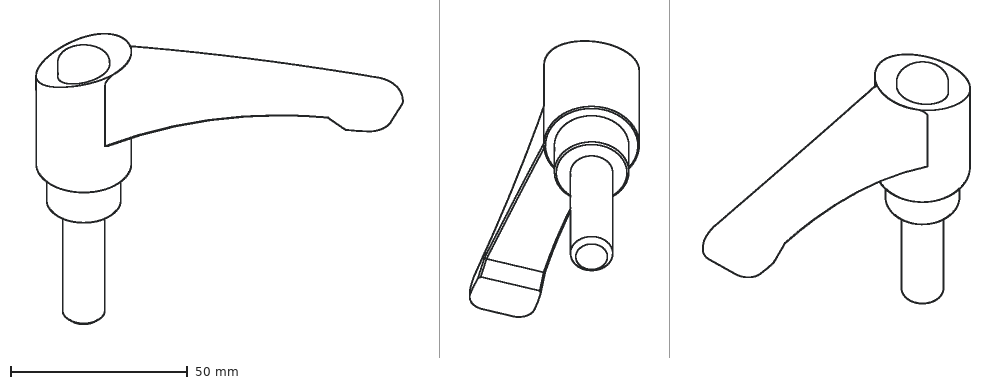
import cadquery as cq
import math

stud_diameter = 12.0
stud_chamfer = 1.5
bush_diameter = 21.0
bush_bottom = 39.8
bush_edge = 0.5
hub_diameter = 27.0
hub_radius = hub_diameter / 2
hub_bottom = 52.8
hub_edge = 0.4

button_diameter = 14.7
button_top = 90.4
button_edge = 1.3

dish_cross_radius = 23.7
dish_long_radius = 35.6
dish_centre_height = 85.3
dish_slope = 0.3
dish_half_width = 18.4

lever_root = 9.9
lever_tip = hub_radius + 81.0
lever_top = 100.9
tip_start = 86.1
tip_edge_height = 96.4
tip_land = 0.6
nose_middle = (91.3, 99.5)
root_bottom = 67.9
root_top = 92.3
back_waist_height = 98.3
finger_x = 42.9
finger_z = 85.4
notch = (77.0, 95.5)
stop = (81.8, 93.2)
lever_root_width = 18.6
lever_waist_width = 16.3
lever_tip_width = 19.0
lever_waist = 46.4
tip_corner_radius = 5.0
top_fillet = 2.7
bottom_chamfer = 0.5


def cylinder(diameter, bottom, top):
    return cq.Workplane("XY").workplane(offset=bottom).circle(diameter / 2).extrude(top - bottom)


def make_lever():
    """Curved side profile trimmed to a waisted outline seen along Z."""
    side = (
        cq.Workplane("XZ", origin=(0, hub_radius, 0))
        .moveTo(lever_root, root_bottom)
        .threePointArc((finger_x, finger_z), notch)
        .lineTo(*stop)
        .lineTo(lever_tip, tip_edge_height - tip_land)
        .lineTo(lever_tip, tip_edge_height)
        .threePointArc(nose_middle, (tip_start, lever_top))
        .threePointArc((lever_waist, back_waist_height), (lever_root, root_top))
        .close()
        .extrude(hub_diameter)
    )
    outline = (
        cq.Workplane("XY")
        .moveTo(lever_root, -lever_root_width / 2)
        .threePointArc((lever_waist, -lever_waist_width / 2), (tip_start, -lever_tip_width / 2))
        .lineTo(lever_tip, -lever_tip_width / 2)
        .lineTo(lever_tip, lever_tip_width / 2)
        .lineTo(tip_start, lever_tip_width / 2)
        .threePointArc((lever_waist, lever_waist_width / 2), (lever_root, lever_root_width / 2))
        .close()
        .extrude(lever_top)
        .edges("|Z and >X")
        .fillet(tip_corner_radius)
    )
    lever = side.intersect(outline)
    back_point = (lever_waist, -lever_waist_width / 2, back_waist_height)
    lever = lever.edges(cq.selectors.NearestToPointSelector(back_point)).fillet(top_fillet)

    stop_middle = ((notch[0] + stop[0]) / 2, (notch[1] + stop[1]) / 2)
    bevelled = lever.newObject([])
    for x, z in [(finger_x, finger_z), stop_middle]:
        for side_sign in (-1, 1):
            point = (x, side_sign * lever_tip_width / 2, z)
            bevelled = bevelled.add(lever.edges(cq.selectors.NearestToPointSelector(point)))
    return bevelled.chamfer(bottom_chamfer)


def make_dish_cutter():
    """Bowl swept about a Y-parallel axis and kept within the hub cylinder."""
    tilt = math.atan(dish_slope)
    axis_x = -dish_long_radius * math.sin(tilt)
    axis_z = dish_centre_height + dish_long_radius * math.cos(tilt)
    rim_rise = dish_cross_radius - math.sqrt(dish_cross_radius**2 - dish_half_width**2)
    rim_depth = rim_rise - dish_long_radius
    bowl = (
        cq.Workplane("YZ", origin=(axis_x, 0, axis_z))
        .moveTo(-dish_half_width, 0)
        .lineTo(-dish_half_width, rim_depth)
        .threePointArc((0, -dish_long_radius), (dish_half_width, rim_depth))
        .lineTo(dish_half_width, 0)
        .close()
        .revolve(360, (0, 0, 0), (1, 0, 0))
    )
    return bowl.intersect(cylinder(hub_diameter, hub_bottom, lever_top))


stud = cylinder(stud_diameter, 0, bush_bottom).faces("<Z").chamfer(stud_chamfer)
bush = cylinder(bush_diameter, bush_bottom, hub_bottom).faces("<Z").chamfer(bush_edge)
hub = cylinder(hub_diameter, hub_bottom, lever_top).faces("<Z").chamfer(hub_edge)
button = cylinder(button_diameter, hub_bottom, button_top).faces(">Z").edges().fillet(button_edge)

handle = hub.union(make_lever()).cut(make_dish_cutter())
result = handle.union(button).union(bush).union(stud)